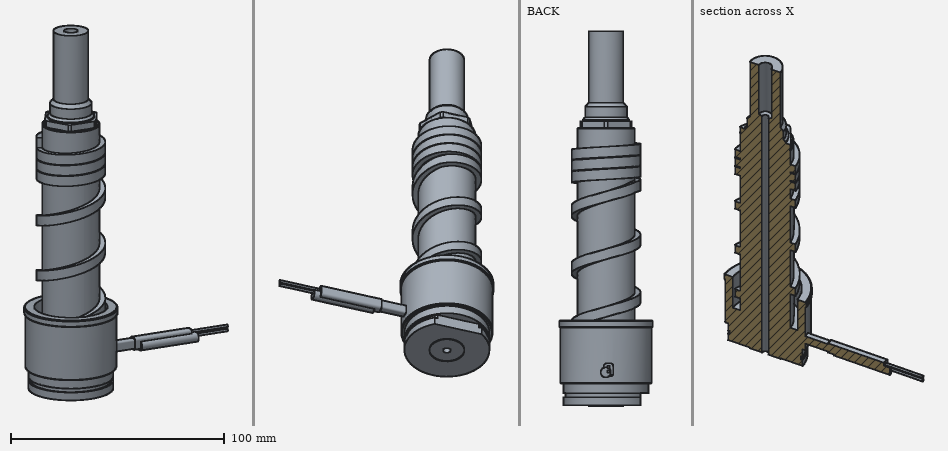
import cadquery as cq
import math

overall_height = 176.0
base_bottom = 0.4
groove_bottom = 4.3
groove_top = 6.2
body_bottom = 10.6
lip_bottom = 36.9
lip_top = 40.3
tube_top = 130.6
hex_top = 133.8
cone_top = 135.6
collar_shoulder = 140.5
collar_top = 142.4

shaft_radius = 8.2
collar_radius = 9.85
cone_radius = 11.0
tube_radius = 13.5
body_radius = 21.5
lip_radius = 22.0
base_radius = 20.0
groove_radius = 19.1
edge_chamfer = 0.5

base_flat_x = -16.2

hex_across_flats = 24.0
hex_corner_radius = 13.45

cup_radius = 17.2
cup_floor = 21.5

bore_radius = 3.25
bore_depth = 30.0
through_radius = 1.75
drill_point_angle = 118.0

spring_outer_radius = 16.2
spring_tube_overlap = 0.1
spring_inner_radius = tube_radius - spring_tube_overlap
wire_height = 4.9
loose_pitch = 27.0
middle_pitch = 11.8
closed_pitch = 5.25
spring_start_angle = -180.0
spring_start_height = 24.1
loose_sweep = 1050.0
middle_sweep = 87.0
closed_sweep = 1095.0

cable_x = -1.2
cable_z = 17.1
cable_width = 3.8
cable_height = 4.9
cable_corner_radius = 0.9
flat_sleeve_width = 4.5
flat_sleeve_height = 6.0
flat_sleeve_corner_radius = 1.3
flat_sleeve_start = 33.5
sleeve_length = 30.0
round_sleeve_x = 0.1
round_sleeve_z = 15.9
round_sleeve_radius = 2.4
round_sleeve_start = 36.5
wire_radius = 0.65
wire_spacing = 2.1
wire_middle_z = 17.4
wire_end = 83.5
cable_root = 19.0


def disc(radius, bottom, top):
    """Cylinder about Z between two heights."""
    return cq.Workplane("XY").workplane(offset=bottom).circle(radius).extrude(top - bottom)


def turn(profile):
    """Solid of revolution about Z from (radius, height) points."""
    return cq.Workplane("XZ").polyline(profile).close().revolve(360, (0, 0), (0, 1))


def make_base():
    """Grooved foot with one wrench flat on its -X side."""
    foot = disc(base_radius, base_bottom, groove_bottom)
    foot = foot.union(disc(groove_radius, groove_bottom, groove_top))
    beyond_flat = cq.Workplane("XY").box(
        base_radius, 2 * base_radius, groove_top, centered=(False, True, False)
    ).translate((base_flat_x - base_radius, 0, 0))
    foot = foot.cut(beyond_flat)
    return foot.union(disc(base_radius, groove_top, body_bottom))


def make_cup():
    """Body with a lip at its open top and an annular recess around the tube."""
    body = disc(body_radius, body_bottom, lip_bottom).faces("<Z").chamfer(edge_chamfer)
    lip = disc(lip_radius, lip_bottom, lip_top).edges().chamfer(edge_chamfer)
    return body.union(lip).cut(disc(cup_radius, cup_floor, lip_top))


def make_spindle():
    """Shaft, collar and tube turned as one profile."""
    profile = [
        (0, 0),
        (shaft_radius, 0),
        (shaft_radius, base_bottom),
        (tube_radius, base_bottom),
        (tube_radius, tube_top - edge_chamfer),
        (tube_radius - edge_chamfer, tube_top),
        (cone_radius, tube_top),
        (cone_radius, hex_top + edge_chamfer),
        (collar_radius, cone_top),
        (collar_radius, collar_shoulder),
        (shaft_radius, collar_top),
        (shaft_radius, overall_height),
        (0, overall_height),
    ]
    return turn(profile)


def make_hexagon():
    """Hexagon with corners on the Y axis, rounded off by a cylinder."""
    corner_diameter = hex_across_flats / math.cos(math.radians(30))
    prism = (
        cq.Workplane("XY")
        .workplane(offset=tube_top)
        .polygon(6, corner_diameter)
        .extrude(hex_top - tube_top)
        .rotate((0, 0, 0), (0, 0, 1), 90)
    )
    return prism.intersect(disc(hex_corner_radius, tube_top, hex_top))


def make_bore():
    """Blind bore from the top with a drill point, continued by a small through hole."""
    bore_bottom = overall_height - bore_depth
    point_depth = bore_radius / math.tan(math.radians(drill_point_angle / 2))
    profile = [
        (0, bore_bottom - point_depth),
        (bore_radius, bore_bottom),
        (bore_radius, overall_height),
        (0, overall_height),
    ]
    bore = turn(profile)
    return bore.union(disc(through_radius, 0, overall_height))


def make_coil(pitch, start_angle, sweep_angle, mid_height):
    """Stretch of rectangular wire wound at a constant pitch, right-handed."""
    rise = pitch * sweep_angle / 360
    middle_radius = (spring_inner_radius + spring_outer_radius) / 2
    path = cq.Wire.makeHelix(pitch, rise, middle_radius)
    section = cq.Workplane("XZ").center(middle_radius, 0).rect(
        spring_outer_radius - spring_inner_radius, wire_height
    )
    coil = section.sweep(cq.Workplane(path), isFrenet=True)
    return coil.rotate((0, 0, 0), (0, 0, 1), start_angle).translate((0, 0, mid_height))


def make_spring():
    """Loose turns at the bottom, a flatter lead-in, then closed turns at the top."""
    coils = []
    angle = spring_start_angle
    height = spring_start_height
    stretches = [
        (loose_pitch, loose_sweep),
        (middle_pitch, middle_sweep),
        (closed_pitch, closed_sweep),
    ]
    for pitch, sweep_angle in stretches:
        coils.append(make_coil(pitch, angle, sweep_angle, height))
        angle += sweep_angle
        height += pitch * sweep_angle / 360
    return coils


def bar_along_y(section, start, end):
    """Extrude a section drawn in X and Z from one Y to another."""
    return section.extrude(end - start).translate((0, start, 0))


def section_plane(x, z):
    """Plane facing +Y with its origin at the given X and Z."""
    return cq.Workplane(cq.Plane(origin=(x, 0, z), xDir=(-1, 0, 0), normal=(0, 1, 0)))


def make_cable():
    """Flat cable, its flat and round sleeves, and two wires one above the other."""
    cable = bar_along_y(
        section_plane(cable_x, cable_z).rect(cable_width, cable_height), cable_root, flat_sleeve_start
    ).edges("|Y").fillet(cable_corner_radius)
    flat_sleeve = bar_along_y(
        section_plane(cable_x, cable_z).rect(flat_sleeve_width, flat_sleeve_height),
        flat_sleeve_start,
        flat_sleeve_start + sleeve_length,
    ).edges("|Y").fillet(flat_sleeve_corner_radius)
    round_sleeve = bar_along_y(
        section_plane(round_sleeve_x, round_sleeve_z).circle(round_sleeve_radius),
        round_sleeve_start,
        round_sleeve_start + sleeve_length,
    )
    cable = cable.union(flat_sleeve).union(round_sleeve)
    for side in (-1, 1):
        wire_z = wire_middle_z + side * wire_spacing / 2
        wire = section_plane(cable_x, wire_z).circle(wire_radius)
        cable = cable.union(bar_along_y(wire, flat_sleeve_start, wire_end))
    return cable


result = make_cup().union(make_base()).union(make_spindle()).union(make_hexagon())
for coil in make_spring():
    result = result.union(coil)
result = result.union(make_cable()).cut(make_bore())